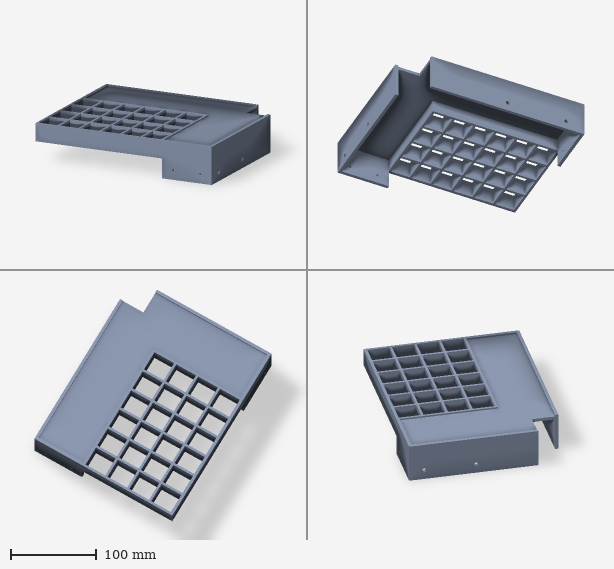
import cadquery as cq

LENGTH = 229.5
WIDTH = 186.3
HEIGHT = 46.0

TRAY_BAND = 64.5
WALL = 4.0
FLOOR_THICKNESS = 4.0
RIM_HEIGHT = 2.0
NOTCH = 31.5

GRID_LENGTH = LENGTH - TRAY_BAND
GRID_WIDTH = WIDTH - TRAY_BAND
GRID_HEIGHT = 22.0
COLUMNS = 6
ROWS = 4
CELL_WALL = 3.0
FRONT_CELL_WALL = 3.7
CELL_LENGTH = (GRID_LENGTH - (COLUMNS + 1) * CELL_WALL) / COLUMNS
CELL_WIDTH = (GRID_WIDTH - FRONT_CELL_WALL - ROWS * CELL_WALL) / ROWS

HOLE_Z = 11.5
LARGE_HOLE = 5.0
SMALL_HOLE = 3.0
BACK_HOLES_X = (23.2, 98.6)
RIGHT_HOLES_Y = (18.4, 80.7)
SMALL_HOLE_OFFSETS = (14.7, 49.8)


def block(x0, x1, y0, y1, z0, z1):
    """Box between two opposite corners."""
    return cq.Workplane("XY").box(x1 - x0, y1 - y0, z1 - z0, centered=False).translate((x0, y0, z0))


def tray():
    """Hollow L-shaped tray: skirt walls on the outer sides and a sunken floor."""
    rim_bottom = HEIGHT - RIM_HEIGHT
    floor_bottom = rim_bottom - FLOOR_THICKNESS
    back_arm = block(0, LENGTH, GRID_WIDTH, WIDTH, floor_bottom, rim_bottom)
    right_arm = block(GRID_LENGTH, LENGTH, 0, WIDTH, floor_bottom, rim_bottom)
    left_wall = block(0, WALL, GRID_WIDTH, WIDTH, 0, HEIGHT)
    back_wall = block(0, LENGTH, WIDTH - WALL, WIDTH, 0, HEIGHT)
    right_wall = block(LENGTH - WALL, LENGTH, 0, WIDTH, 0, HEIGHT)
    front_wall = block(GRID_LENGTH, LENGTH, 0, WALL, 0, HEIGHT)
    notch = block(LENGTH - NOTCH, LENGTH, WIDTH - NOTCH, WIDTH, 0, HEIGHT)
    walls = left_wall.union(back_wall).union(right_wall).union(front_wall)
    return back_arm.union(right_arm).union(walls).cut(notch)


def cell_grid():
    """Block of rectangular cells open at the top and bottom."""
    grid = block(0, GRID_LENGTH, 0, GRID_WIDTH, HEIGHT - GRID_HEIGHT, HEIGHT)
    for column in range(COLUMNS):
        x = CELL_WALL + column * (CELL_LENGTH + CELL_WALL)
        for row in range(ROWS):
            y = FRONT_CELL_WALL + row * (CELL_WIDTH + CELL_WALL)
            grid = grid.cut(block(x, x + CELL_LENGTH, y, y + CELL_WIDTH, 0, HEIGHT))
    return grid


def wall_hole(diameter, position, direction):
    """Cylinder through one skirt wall, starting on its lower-coordinate face."""
    start = cq.Vector(*position)
    return cq.Workplane(cq.Solid.makeCylinder(diameter / 2, WALL, start, cq.Vector(*direction)))


ALONG_X = (1, 0, 0)
ALONG_Y = (0, 1, 0)

result = tray().union(cell_grid())

for hole_x in BACK_HOLES_X:
    result = result.cut(wall_hole(LARGE_HOLE, (hole_x, WIDTH - WALL, HOLE_Z), ALONG_Y))
for hole_y in RIGHT_HOLES_Y:
    result = result.cut(wall_hole(LARGE_HOLE, (LENGTH - WALL, hole_y, HOLE_Z), ALONG_X))
for offset in SMALL_HOLE_OFFSETS:
    result = result.cut(wall_hole(SMALL_HOLE, (LENGTH - offset, 0, HOLE_Z), ALONG_Y))
    result = result.cut(wall_hole(SMALL_HOLE, (0, WIDTH - offset, HOLE_Z), ALONG_X))